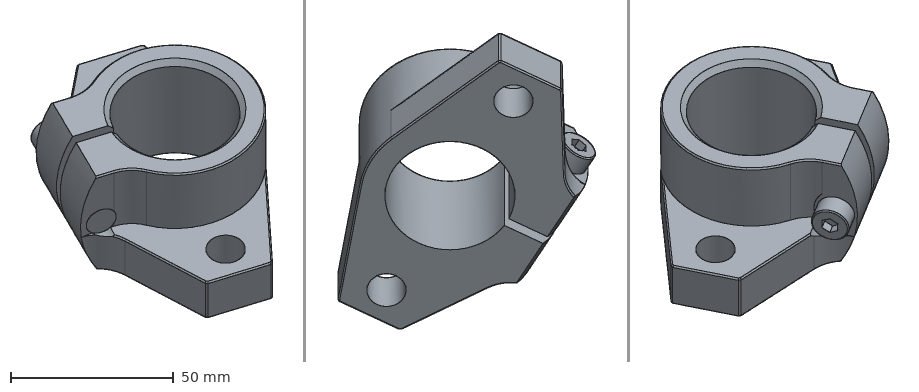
import cadquery as cq
import math

LENGTH = 102.0
HEIGHT = 40.0
PLATE_THICKNESS = 16.0
EDGE_CHAMFER = 0.5

RING_RADIUS = 27.9
BORE_RADIUS = 20.0
BORE_CHAMFER = 1.8

LUG_WIDTH = 35.0
LUG_REACH = 39.0
NOSE_RADIUS = 40.0
BLEND_RADIUS = 14.0
SLIT_WIDTH = 2.9

END_WIDTH = 22.0
MOUNT_SPACING = 80.0
MOUNT_DIAMETER = 12.0

SCREW_Y = -32.0
SCREW_Z = HEIGHT / 2
SHANK_DIAMETER = 10.0
HEAD_DIAMETER = 12.0
HEAD_HEIGHT = 6.6
HEAD_CHAMFER = 0.4
SOCKET_FLATS = 5.0
SOCKET_DEPTH = 3.1

CLEARANCE_Y = -34.1
CLEARANCE_RADIUS = 9.0

HALF_LENGTH = LENGTH / 2
HALF_LUG = LUG_WIDTH / 2
BLEND_X = HALF_LUG + BLEND_RADIUS
NOSE_ALLOWANCE = 5.1
STOCK_FRONT = -LUG_REACH - NOSE_ALLOWANCE


def tangent_point(point, center, radius, side):
    """Point where a line from `point` touches a circle; side is +1 or -1."""
    dx = point[0] - center[0]
    dy = point[1] - center[1]
    angle = math.atan2(dy, dx) + side * math.acos(radius / math.hypot(dx, dy))
    return (center[0] + radius * math.cos(angle), center[1] + radius * math.sin(angle))


def arc_middle(center, radius, start, end):
    """Middle of the shorter arc from start to end."""
    dx = (start[0] + end[0]) / 2 - center[0]
    dy = (start[1] + end[1]) / 2 - center[1]
    reach = radius / math.hypot(dx, dy)
    return (center[0] + dx * reach, center[1] + dy * reach)


def mirrored(point):
    return (-point[0], point[1])


def make_plate():
    """Diamond plate: flanks tangent to the ring at the back, blended into the lug in front."""
    back_corner = (HALF_LENGTH, END_WIDTH / 2)
    front_corner = (HALF_LENGTH, -END_WIDTH / 2)
    ring_touch = tangent_point(back_corner, (0, 0), RING_RADIUS, 1)
    blend_center = (BLEND_X, -LUG_REACH)
    blend_start = tangent_point(front_corner, blend_center, BLEND_RADIUS, 1)
    blend_end = (HALF_LUG, -LUG_REACH)
    blend_middle = arc_middle(blend_center, BLEND_RADIUS, blend_start, blend_end)
    return (
        cq.Workplane("XY")
        .moveTo(*mirrored(ring_touch))
        .threePointArc((0, RING_RADIUS), ring_touch)
        .lineTo(*back_corner)
        .lineTo(*front_corner)
        .lineTo(*blend_start)
        .threePointArc(blend_middle, blend_end)
        .lineTo(HALF_LUG, STOCK_FRONT)
        .lineTo(-HALF_LUG, STOCK_FRONT)
        .lineTo(*mirrored(blend_end))
        .threePointArc(mirrored(blend_middle), mirrored(blend_start))
        .lineTo(*mirrored(front_corner))
        .lineTo(*mirrored(back_corner))
        .close()
        .extrude(PLATE_THICKNESS)
        .edges("(|Z and >X) or (|Z and <X)").chamfer(EDGE_CHAMFER)
        .faces("<Z or >Z").chamfer(EDGE_CHAMFER)
    )


def make_clamp():
    """Full-height ring, with the lug blended tangentially into it."""
    center_distance = RING_RADIUS + BLEND_RADIUS
    blend_y = -math.sqrt(center_distance ** 2 - BLEND_X ** 2)
    blend_center = (BLEND_X, blend_y)
    ring_share = RING_RADIUS / center_distance
    blend_start = (BLEND_X * ring_share, blend_y * ring_share)
    blend_end = (HALF_LUG, blend_y)
    blend_middle = arc_middle(blend_center, BLEND_RADIUS, blend_start, blend_end)
    return (
        cq.Workplane("XY")
        .moveTo(*mirrored(blend_start))
        .threePointArc((0, RING_RADIUS), blend_start)
        .threePointArc(blend_middle, blend_end)
        .lineTo(HALF_LUG, STOCK_FRONT)
        .lineTo(-HALF_LUG, STOCK_FRONT)
        .lineTo(*mirrored(blend_end))
        .threePointArc(mirrored(blend_middle), mirrored(blend_start))
        .close()
        .extrude(HEIGHT)
        .faces("<Z or >Z").chamfer(EDGE_CHAMFER)
    )


def make_nose_envelope():
    """Block over the whole part, with the front rounded about an X axis at mid height."""
    sagitta = NOSE_RADIUS - math.sqrt(NOSE_RADIUS ** 2 - (HEIGHT / 2) ** 2)
    edge_y = -LUG_REACH + sagitta
    return (
        cq.Workplane("YZ", origin=(-HALF_LENGTH, 0, 0))
        .moveTo(RING_RADIUS, 0)
        .lineTo(edge_y, 0)
        .threePointArc((-LUG_REACH, HEIGHT / 2), (edge_y, HEIGHT))
        .lineTo(RING_RADIUS, HEIGHT)
        .close()
        .extrude(LENGTH)
    )


def make_bore():
    """Bore cutter, chamfered outward at the top only."""
    mouth_radius = BORE_RADIUS + BORE_CHAMFER
    return (
        cq.Workplane("YZ")
        .polyline([
            (0, 0),
            (-BORE_RADIUS, 0),
            (-BORE_RADIUS, HEIGHT - BORE_CHAMFER),
            (-mouth_radius, HEIGHT),
            (0, HEIGHT),
        ])
        .close()
        .revolve(360, (0, 0, 0), (0, 1, 0))
    )


def make_head_clearance():
    """Round-ended slot beside the lug, open to the front."""
    slot_length = CLEARANCE_Y - STOCK_FRONT
    side = cq.Workplane("YZ", origin=(-HALF_LUG, CLEARANCE_Y, SCREW_Z))
    depth = HALF_LUG - HALF_LENGTH
    round_end = side.circle(CLEARANCE_RADIUS).extrude(depth)
    opening = side.center(-slot_length / 2, 0).rect(slot_length, 2 * CLEARANCE_RADIUS).extrude(depth)
    return round_end.union(opening)


def make_housing():
    body = make_plate().union(make_clamp()).intersect(make_nose_envelope())
    body = body.cut(make_bore())

    slit = cq.Workplane("XY").center(0, STOCK_FRONT / 2).rect(SLIT_WIDTH, -STOCK_FRONT).extrude(HEIGHT)
    body = body.cut(slit)

    mount_holes = (
        cq.Workplane("XY")
        .pushPoints([(-MOUNT_SPACING / 2, 0), (MOUNT_SPACING / 2, 0)])
        .circle(MOUNT_DIAMETER / 2)
        .extrude(PLATE_THICKNESS)
    )
    body = body.cut(mount_holes)

    screw_hole = (
        cq.Workplane("YZ", origin=(-HALF_LUG, SCREW_Y, SCREW_Z))
        .circle(SHANK_DIAMETER / 2)
        .extrude(HALF_LUG + HALF_LENGTH)
    )
    return body.cut(make_head_clearance()).cut(screw_hole)


def make_screw():
    """Socket head cap screw; the head seats on the -X lug face and the tip ends flush."""
    seat = cq.Workplane("YZ", origin=(-HALF_LUG, SCREW_Y, SCREW_Z))
    shank = seat.circle(SHANK_DIAMETER / 2).extrude(LUG_WIDTH)
    head = (
        seat.circle(HEAD_DIAMETER / 2)
        .extrude(-HEAD_HEIGHT)
        .faces("<X").edges().chamfer(HEAD_CHAMFER)
    )
    across_corners = SOCKET_FLATS / math.cos(math.pi / 6)
    socket = (
        cq.Workplane("YZ", origin=(-HALF_LUG - HEAD_HEIGHT, SCREW_Y, SCREW_Z))
        .transformed(rotate=(0, 0, 90))
        .polygon(6, across_corners)
        .extrude(SOCKET_DEPTH)
    )
    return head.union(shank).cut(socket)


housing = make_housing()
screw = make_screw()
result = cq.Compound.makeCompound([housing.val(), screw.val()])